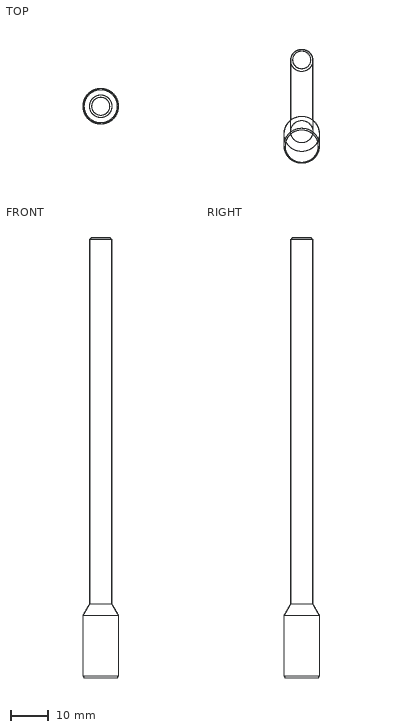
import cadquery as cq

total_length = 117.0
shank_diameter = 6.0
head_diameter = 9.5

head_length = 19.7
cone_height = 3.0
cylinder_height = head_length - cone_height
shank_length = total_length - head_length

shank_chamfer = 0.6
head_chamfer_width = 0.4
head_chamfer_height = 0.6


def make_head():
    """Cylindrical head, chamfered below and tapering up to the shank diameter."""
    head_radius = head_diameter / 2
    return (
        cq.Workplane("XZ")
        .moveTo(0, 0)
        .lineTo(head_radius - head_chamfer_width, 0)
        .lineTo(head_radius, head_chamfer_height)
        .lineTo(head_radius, cylinder_height)
        .lineTo(shank_diameter / 2, head_length)
        .lineTo(0, head_length)
        .close()
        .revolve(360, (0, 0, 0), (0, 1, 0))
    )


def make_shank():
    """Long round shank standing on the head, with a chamfered free end."""
    return (
        cq.Workplane("XY", origin=(0, 0, head_length))
        .circle(shank_diameter / 2)
        .extrude(shank_length)
        .faces(">Z")
        .chamfer(shank_chamfer)
    )


head = make_head()
shank = make_shank()

result = cq.Compound.makeCompound([head.val(), shank.val()])